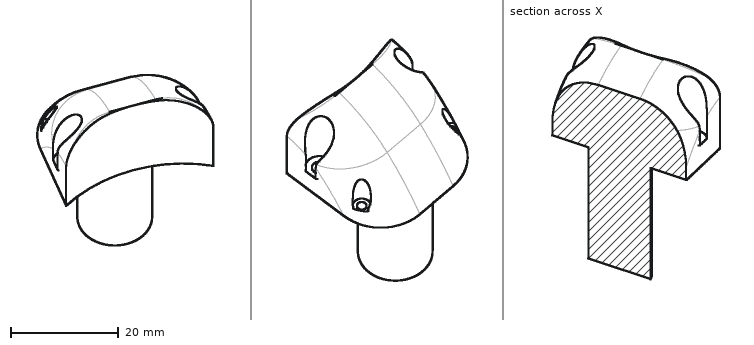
import cadquery as cq
import math

head_width = 29.06
head_length = 24.64
head_height = 18.86
corner_radius = 10.0
crest_thickness = 4.0

nose_slope = 60.6
lower_turn = 13.5
upper_turn = 32.0

shell_depth = 17.0
core_inset = 11.5

stem_diameter = 14.0
stem_length = 25.0
nose_to_stem = 10.57

large_screw = dict(from_nose=18.5, from_middle=12.15, hole=2.8, head=5.4, seat=5.0)
small_screw = dict(from_nose=7.65, from_middle=12.2, hole=1.8, head=3.4, seat=3.05)

nose_x = -nose_to_stem
back_x = nose_x + head_length
crest_x = back_x - crest_thickness
half_width = head_width / 2


def arc_span(slope, turn):
    """X and Z covered by a unit-radius arc that starts at a slope and flattens by a turn."""
    start = math.radians(slope)
    end = math.radians(slope - turn)
    return math.sin(start) - math.sin(end), math.cos(end) - math.cos(start)


def ridge_radii():
    """Radii of the lower and upper arcs that together reach exactly from the nose to the crest."""
    run = crest_x - nose_x
    lower_run, lower_rise = arc_span(nose_slope, lower_turn)
    upper_run, upper_rise = arc_span(nose_slope - lower_turn, upper_turn)
    determinant = lower_run * upper_rise - upper_run * lower_rise
    lower_radius = (run * upper_rise - upper_run * head_height) / determinant
    upper_radius = (lower_run * head_height - run * lower_rise) / determinant
    return lower_radius, upper_radius


def footprint():
    """Front part of the plan outline of the head, taken from the underside of a rounded slab."""
    slab_thickness = 1.0
    return (
        cq.Workplane("XY")
        .center(nose_x + shell_depth / 2, 0)
        .rect(shell_depth, head_width)
        .extrude(slab_thickness)
        .edges("|Z and <X")
        .fillet(corner_radius)
        .faces("<Z")
        .val()
    )


def turn_face(face, ridge_point, slope, turn, radius):
    """Revolve a face along one ridge arc; return the solid, the carried face and its ridge point."""
    angle = math.radians(slope)
    axis_start = ridge_point + cq.Vector(math.sin(angle), 0, -math.cos(angle)) * radius
    axis_end = axis_start + cq.Vector(0, 1, 0)
    solid = cq.Solid.revolve(face, turn, axis_start, axis_end)
    run, rise = arc_span(slope, turn)
    end_point = ridge_point + cq.Vector(run, 0, rise) * radius
    return cq.Workplane(obj=solid), face.rotate(axis_start, axis_end, turn), end_point


def swept_shell():
    """Footprint turned up both ridge arcs, then carried straight back over the crest."""
    lower_radius, upper_radius = ridge_radii()
    nose = cq.Vector(nose_x, 0, 0)
    lower, middle_face, middle = turn_face(footprint(), nose, nose_slope, lower_turn, lower_radius)
    middle_slope = nose_slope - lower_turn
    upper, end_face, _ = turn_face(middle_face, middle, middle_slope, upper_turn, upper_radius)
    crest = cq.Solid.extrudeLinear(end_face, cq.Vector(head_length, 0, 0))
    return lower.union(upper).union(cq.Workplane(obj=crest))


def core():
    """Full-width wedge that fills the head beneath the swept shell."""
    end_tilt = math.radians(lower_turn + upper_turn)
    top_x = crest_x + core_inset * math.cos(end_tilt)
    top_z = head_height - core_inset * math.sin(end_tilt)
    return (
        cq.Workplane("XZ")
        .moveTo(nose_x + core_inset, 0)
        .lineTo(top_x, top_z)
        .lineTo(top_x, 0)
        .close()
        .extrude(half_width, both=True)
    )


def envelope():
    """Block that trims the shell and core at the underside and at the back."""
    return (
        cq.Workplane("XY")
        .center(nose_x + head_length / 2, 0)
        .rect(head_length, head_width)
        .extrude(head_height)
    )


def back_hollow():
    """Upright cylinder that leaves the concave back."""
    radius = (half_width**2 + crest_thickness**2) / (2 * crest_thickness)
    return cq.Workplane("XY").center(crest_x + radius, 0).circle(radius).extrude(head_height)


def stem():
    """Round post that hangs below the head."""
    return cq.Workplane("XY").circle(stem_diameter / 2).extrude(-stem_length)


def screw_pair(screw):
    """Two mirrored screw holes with head clearance open to the top."""
    x = nose_x + screw["from_nose"]
    places = [(x, -screw["from_middle"]), (x, screw["from_middle"])]
    shanks = cq.Workplane("XY").pushPoints(places).circle(screw["hole"] / 2).extrude(head_height)
    heads = (
        cq.Workplane("XY", origin=(0, 0, screw["seat"]))
        .pushPoints(places)
        .circle(screw["head"] / 2)
        .extrude(head_height)
    )
    return shanks.union(heads)


head = swept_shell().union(core()).intersect(envelope()).cut(back_hollow())
for screw in (large_screw, small_screw):
    head = head.cut(screw_pair(screw))

result = head.union(stem())